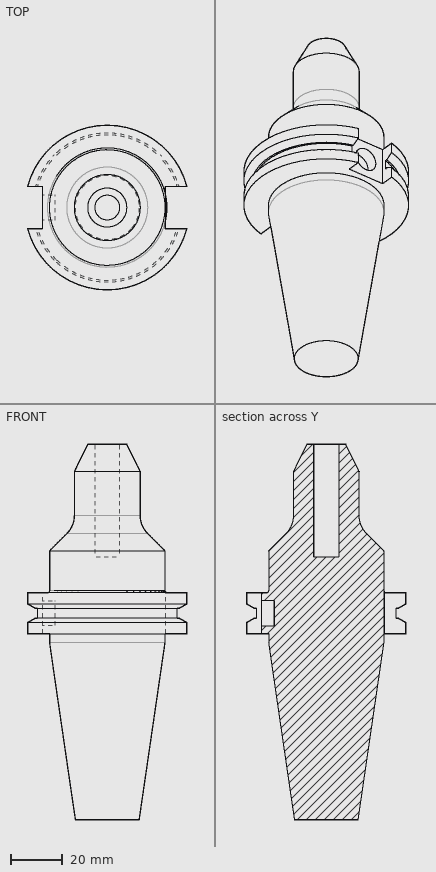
import cadquery as cq
import math

total_height = 144.5

gauge_radius = 22.2
taper_top = 68.2
taper_ratio = 7 / 24
tail_radius = gauge_radius - taper_top * taper_ratio / 2

flange_diameter = 63.4
flange_radius = flange_diameter / 2
flange_bottom = 71.5
flange_thickness = 15.9
flange_top = flange_bottom + flange_thickness
flange_middle = flange_bottom + flange_thickness / 2
groove_floor_radius = 28.0
groove_ledge_radius = 28.7
groove_flank_angle = math.radians(30)
groove_mouth_width = 7.1
groove_floor_width = (
    groove_mouth_width - 2 * (flange_radius - groove_ledge_radius) * math.tan(groove_flank_angle)
)

body_radius = gauge_radius
body_top = 103.4
root_fillet = 0.7
shoulder_angle = math.radians(45)
neck_radius = 12.7
neck_fillet = 9.8

nose_bottom = 133.9
nose_radius = 7.5

bore_diameter = 9.5
axial_bore_depth = 43.3
drive_bore_depth = 4.9

slot_width = 16.2
left_slot_floor = 25.0
right_slot_floor = 22.4


def holder_body():
    """Revolve the half profile; sketch x is the radius and sketch y is the height."""
    fillet_foot_radius = neck_radius + neck_fillet * (1 - math.cos(shoulder_angle))
    fillet_foot = body_top + (body_radius - fillet_foot_radius) * math.tan(shoulder_angle)
    fillet_top = fillet_foot + neck_fillet * math.sin(shoulder_angle)
    fillet_middle = (
        neck_radius + neck_fillet * (1 - math.cos(shoulder_angle / 2)),
        fillet_top - neck_fillet * math.sin(shoulder_angle / 2),
    )
    root_middle_offset = root_fillet * (1 - math.sqrt(0.5))

    profile = (
        cq.Workplane("XZ")
        .lineTo(tail_radius, 0)
        .lineTo(gauge_radius, taper_top)
        .lineTo(gauge_radius, flange_bottom)
        .lineTo(flange_radius, flange_bottom)
        .lineTo(flange_radius, flange_middle - groove_mouth_width / 2)
        .lineTo(groove_ledge_radius, flange_middle - groove_floor_width / 2)
        .lineTo(groove_floor_radius, flange_middle - groove_floor_width / 2)
        .lineTo(groove_floor_radius, flange_middle + groove_floor_width / 2)
        .lineTo(groove_ledge_radius, flange_middle + groove_floor_width / 2)
        .lineTo(flange_radius, flange_middle + groove_mouth_width / 2)
        .lineTo(flange_radius, flange_top)
        .lineTo(body_radius + root_fillet, flange_top)
        .threePointArc(
            (body_radius + root_middle_offset, flange_top + root_middle_offset),
            (body_radius, flange_top + root_fillet),
        )
        .lineTo(body_radius, body_top)
        .lineTo(fillet_foot_radius, fillet_foot)
        .threePointArc(fillet_middle, (neck_radius, fillet_top))
        .lineTo(neck_radius, nose_bottom)
        .lineTo(nose_radius, total_height)
        .lineTo(0, total_height)
        .close()
    )
    return profile.revolve(360, (0, 0), (0, 1))


def drive_slot(floor_distance, side):
    """Cutter for the slot on one side of the flange; side is -1 for -X and +1 for +X."""
    slot_depth = flange_radius - floor_distance
    center_x = side * (floor_distance + slot_depth / 2)
    return (
        cq.Workplane("XY")
        .box(slot_depth, slot_width, flange_thickness)
        .translate((center_x, 0, flange_middle))
    )


def axial_bore():
    """Flat-bottomed bore down from the nose."""
    return (
        cq.Workplane("XY", origin=(0, 0, total_height))
        .circle(bore_diameter / 2)
        .extrude(-axial_bore_depth)
    )


def drive_bore():
    """Flat-bottomed bore running inward from the floor of the -X slot."""
    return (
        cq.Workplane("YZ", origin=(-left_slot_floor, 0, flange_middle))
        .circle(bore_diameter / 2)
        .extrude(drive_bore_depth)
    )


result = (
    holder_body()
    .cut(drive_slot(left_slot_floor, -1))
    .cut(drive_slot(right_slot_floor, 1))
    .cut(axial_bore())
    .cut(drive_bore())
)